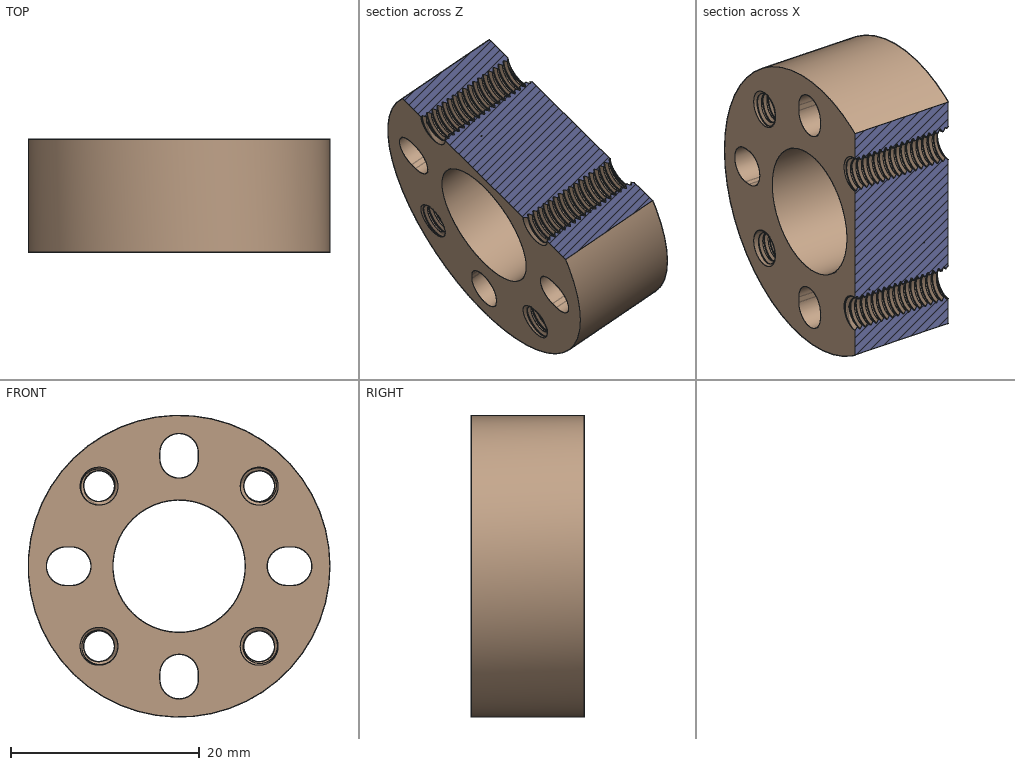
import cadquery as cq
import math

ring_diameter = 32.0
ring_width = 12.0
bore_diameter = 14.0

slot_pitch_radius = 11.7
slot_width = 4.05
slot_length = 4.7
slot_count = 4

thread_pitch_radius = 12.0
thread_count = 4
thread_start_angle = 180 / slot_count
thread_pitch = 0.7
thread_major_diameter = 4.0
thread_minor_diameter = 3.242
thread_crest_width = thread_pitch / 4
thread_flank_angle = 30.0
thread_phase = -0.1
ridge_embedding = 0.02
ridge_overrun = 2 * thread_pitch

mouth_diameter = 4.02
mouth_half_angle = 45.0

ring_axis_start = (0, 0, 0)
ring_axis_end = (0, 1, 0)


def make_ring():
    return (
        cq.Workplane("XZ")
        .circle(ring_diameter / 2)
        .circle(bore_diameter / 2)
        .extrude(-ring_width)
    )


def make_slots():
    return (
        cq.Workplane("XZ")
        .polarArray(slot_pitch_radius, 0, 360, slot_count)
        .slot2D(slot_length, slot_width)
        .extrude(-ring_width)
    )


def make_hole_mouth():
    """Cone sunk into the face at Y = 0, with a wide disc in front that trims the ridge flush."""
    mouth_radius = mouth_diameter / 2
    cone_depth = mouth_radius / math.tan(math.radians(mouth_half_angle))
    disc_radius = thread_major_diameter
    disc_thickness = ridge_overrun + 2 * thread_pitch
    return (
        cq.Workplane("XY")
        .moveTo(0, -disc_thickness)
        .lineTo(disc_radius, -disc_thickness)
        .lineTo(disc_radius, 0)
        .lineTo(mouth_radius, 0)
        .lineTo(0, cone_depth)
        .close()
        .revolve(360, (0, 0, 0), (0, 1, 0))
    )


def make_thread_ridge():
    """Right-handed helical ridge about the Y axis, running past both faces of the ring."""
    crest_radius = thread_minor_diameter / 2
    base_radius = thread_major_diameter / 2 + ridge_embedding
    flank_run = (base_radius - crest_radius) * math.tan(math.radians(thread_flank_angle))
    crest_half = thread_crest_width / 2
    base_half = crest_half + flank_run
    helix_start = thread_phase - thread_pitch
    helix_length = ring_width + thread_pitch + ridge_overrun
    helix = cq.Wire.makeHelix(thread_pitch, helix_length, base_radius)
    ridge = (
        cq.Workplane("XZ")
        .moveTo(base_radius, -base_half)
        .lineTo(crest_radius, -crest_half)
        .lineTo(crest_radius, crest_half)
        .lineTo(base_radius, base_half)
        .close()
        .sweep(cq.Workplane(obj=helix), isFrenet=True)
    )
    return ridge.translate((0, 0, helix_start)).rotate((0, 0, 0), (1, 0, 0), -90)


def place_in_ring(tool, index):
    """Move a tool built about the Y axis to one of the threaded hole positions."""
    angle = thread_start_angle + index * 360 / thread_count
    moved = tool.translate((thread_pitch_radius, 0, 0))
    return moved.rotate(ring_axis_start, ring_axis_end, angle)


def add_threaded_holes(body):
    near_mouth = make_hole_mouth()
    far_mouth = near_mouth.mirror("XZ").translate((0, ring_width, 0))
    hole = cq.Workplane("XZ").circle(thread_major_diameter / 2).extrude(-ring_width)
    hole_with_mouths = hole.union(near_mouth).union(far_mouth)
    trimmed_ridge = make_thread_ridge().cut(near_mouth).cut(far_mouth)
    for index in range(thread_count):
        body = body.cut(place_in_ring(hole_with_mouths, index))
        body = body.union(place_in_ring(trimmed_ridge, index))
    return body


result = add_threaded_holes(make_ring().cut(make_slots())).solids()